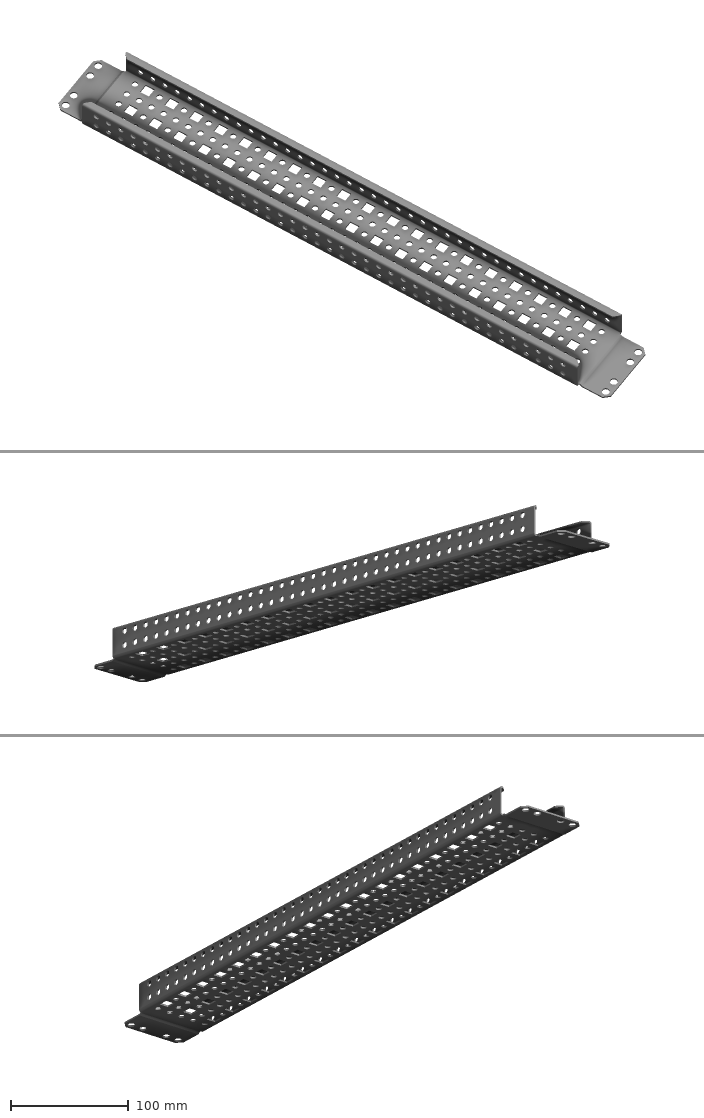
import cadquery as cq

LENGTH = 562.0
WIDTH = 69.0
HEIGHT = 28.5
SHEET = 1.5

WALL_INSET = 29.0
STEP_START = 26.0
STEP_END = 28.0
STEP_DEPTH = 1.45
BEND_RADIUS = 2.0
LIP_WIDTH = 7.5
LIP_MITRE = 4.5
TAB_WIDTH = 63.0
TAB_CORNER_CUT = 5.0

PERFORATED_SPAN = 475.0
COLUMNS = 39
FLOOR_ROWS = 5
HOLE_DIAMETER = 5.4
SQUARE_SIDE = 9.0
WALL_ROW_HEIGHT = 10.0
WALL_ROWS = 2

TAB_HOLE_DIAMETER = 7.0
TAB_HOLE_INSET = 6.0

BODY_LENGTH = LENGTH - 2 * WALL_INSET
HALF_LENGTH = LENGTH / 2
HALF_BODY = BODY_LENGTH / 2
HALF_WIDTH = WIDTH / 2
STEP_LOW_X = HALF_LENGTH - STEP_START
STEP_HIGH_X = HALF_LENGTH - STEP_END
FLOOR_JOINT_X = HALF_BODY - SHEET
FLOOR_TOP = STEP_DEPTH + SHEET

PITCH = PERFORATED_SPAN / (COLUMNS - 1)

column_x = [(i - (COLUMNS - 1) / 2) * PITCH for i in range(COLUMNS)]
floor_row_y = [(j - (FLOOR_ROWS - 1) / 2) * PITCH for j in range(FLOOR_ROWS)]
wall_row_z = [WALL_ROW_HEIGHT + k * PITCH for k in range(WALL_ROWS)]


def channel():
    """Plain channel: floor, two walls and inward lips with mitred ends."""
    body_height = HEIGHT - STEP_DEPTH
    middle_z = STEP_DEPTH + body_height / 2
    outer = (
        cq.Workplane("XY")
        .box(BODY_LENGTH, WIDTH, body_height)
        .edges("|X")
        .fillet(BEND_RADIUS)
    )
    inner = (
        cq.Workplane("XY")
        .box(BODY_LENGTH, WIDTH - 2 * SHEET, body_height - 2 * SHEET)
        .edges("|X")
        .fillet(BEND_RADIUS - SHEET)
    )
    tube = outer.cut(inner).translate((0, 0, middle_z))

    half_gap = HALF_WIDTH - LIP_WIDTH
    mitre_x = HALF_BODY - LIP_MITRE
    opening = cq.Workplane("XY").workplane(offset=HEIGHT - BEND_RADIUS)
    opening = opening.rect(BODY_LENGTH, 2 * half_gap).extrude(BEND_RADIUS)
    for end in (-1, 1):
        for side in (-1, 1):
            corner = (
                cq.Workplane("XY")
                .workplane(offset=HEIGHT - BEND_RADIUS)
                .moveTo(end * mitre_x, side * half_gap)
                .lineTo(end * HALF_BODY, side * (half_gap + LIP_MITRE))
                .lineTo(end * HALF_BODY, side * half_gap)
                .close()
                .extrude(BEND_RADIUS)
            )
            opening = opening.union(corner)
    return tube.cut(opening)


def stepped_tab(end):
    """Tab with cut corners at one end (-1 or 1), joined to the floor by a sloping step."""
    profile = [
        (HALF_LENGTH, 0),
        (STEP_LOW_X, 0),
        (STEP_HIGH_X, STEP_DEPTH),
        (FLOOR_JOINT_X, STEP_DEPTH),
        (FLOOR_JOINT_X, FLOOR_TOP),
        (STEP_HIGH_X, FLOOR_TOP),
        (STEP_LOW_X, SHEET),
        (HALF_LENGTH, SHEET),
    ]
    tip = ">X" if end > 0 else "<X"
    return (
        cq.Workplane("XZ")
        .polyline([(end * x, z) for x, z in profile])
        .close()
        .extrude(TAB_WIDTH / 2, both=True)
        .faces(tip)
        .edges("|Z")
        .chamfer(TAB_CORNER_CUT)
    )


def floor_openings():
    """Grid of floor holes; every second column has squares in every second row."""
    round_points = []
    square_points = []
    for i, x in enumerate(column_x):
        for j, y in enumerate(floor_row_y):
            is_square = i % 2 == 1 and j % 2 == 0
            if is_square:
                square_points.append((x, y))
            else:
                round_points.append((x, y))
    base = cq.Workplane("XY")
    rounds = base.pushPoints(round_points).circle(HOLE_DIAMETER / 2).extrude(FLOOR_TOP)
    squares = base.pushPoints(square_points).rect(SQUARE_SIDE, SQUARE_SIDE).extrude(FLOOR_TOP)
    return rounds.union(squares)


def wall_holes():
    """Rows of round holes running through both side walls."""
    points = [(x, z) for x in column_x for z in wall_row_z]
    return cq.Workplane("XZ").pushPoints(points).circle(HOLE_DIAMETER / 2).extrude(HALF_WIDTH, both=True)


def tab_holes():
    """Four mounting holes in each tab, in line with the outer floor rows."""
    hole_x = HALF_LENGTH - TAB_HOLE_INSET
    points = [(end * hole_x, y) for end in (-1, 1) for y in floor_row_y if y != 0]
    return cq.Workplane("XY").pushPoints(points).circle(TAB_HOLE_DIAMETER / 2).extrude(SHEET)


result = (
    channel()
    .union(stepped_tab(-1))
    .union(stepped_tab(1))
    .cut(floor_openings())
    .cut(wall_holes())
    .cut(tab_holes())
)